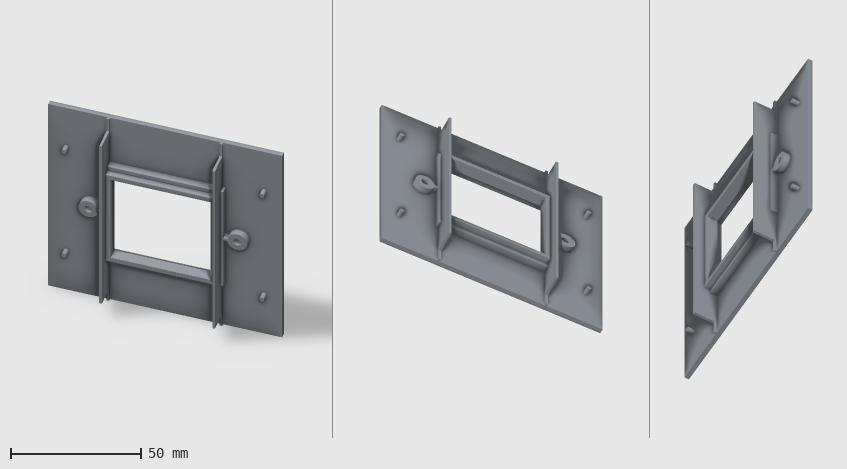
import cadquery as cq

plate_side = 94.5
plate_thickness = 2.0

total_depth = 12.0
inner_frame_depth = 7.6
low_feature_depth = 5.0
fin_foot_depth = 3.0

window_side = 40.4
frame_wall = 2.1
inner_frame_side = window_side + 2 * frame_wall
outer_frame_side = inner_frame_side + 2 * frame_wall

recess_side = inner_frame_side
recess_depth = 3.0

fin_thickness = 1.0
fin_x = (inner_frame_side + fin_thickness) / 2
fin_length = 81.8

boss_x = 30.05
boss_diameter = 8.0
screw_hole_diameter = 3.2
web_thickness = 1.0

pin_x = 40.0
pin_z = 26.9
pin_diameter = 2.0


def block(width, depth, height, x=0):
    """Box centred on X = x and Z = 0, from the plate back to the given depth."""
    return cq.Workplane("XY").box(width, depth, height).translate((x, -depth / 2, 0))


def cylinders(points, diameter, depth):
    """Round posts along -Y, from the plate back to the given depth."""
    return cq.Workplane("XZ").pushPoints(points).circle(diameter / 2).extrude(depth)


def fin(x):
    """Tall fin with a low foot that runs the full height of the plate."""
    foot = block(fin_thickness, fin_foot_depth, plate_side, x)
    return foot.union(block(fin_thickness, total_depth, fin_length, x))


def web(side):
    """Thin rib from a boss centre to the edge of the outer frame."""
    inner_end = outer_frame_side / 2 - frame_wall / 2
    length = boss_x - inner_end
    return block(length, low_feature_depth, web_thickness, side * (inner_end + length / 2))


result = block(plate_side, plate_thickness, plate_side)
result = result.union(block(outer_frame_side, low_feature_depth, outer_frame_side))
result = result.union(block(inner_frame_side, inner_frame_depth, inner_frame_side))

for side in (-1, 1):
    result = result.union(fin(side * fin_x))
    result = result.union(web(side))

boss_points = [(-boss_x, 0), (boss_x, 0)]
pin_points = [(x, z) for x in (-pin_x, pin_x) for z in (-pin_z, pin_z)]
result = result.union(cylinders(boss_points, boss_diameter, low_feature_depth))
result = result.union(cylinders(pin_points, pin_diameter, low_feature_depth))

result = result.cut(block(window_side, total_depth, window_side))
result = result.cut(cylinders(boss_points, screw_hole_diameter, total_depth))
result = result.cut(block(recess_side, recess_depth, recess_side))